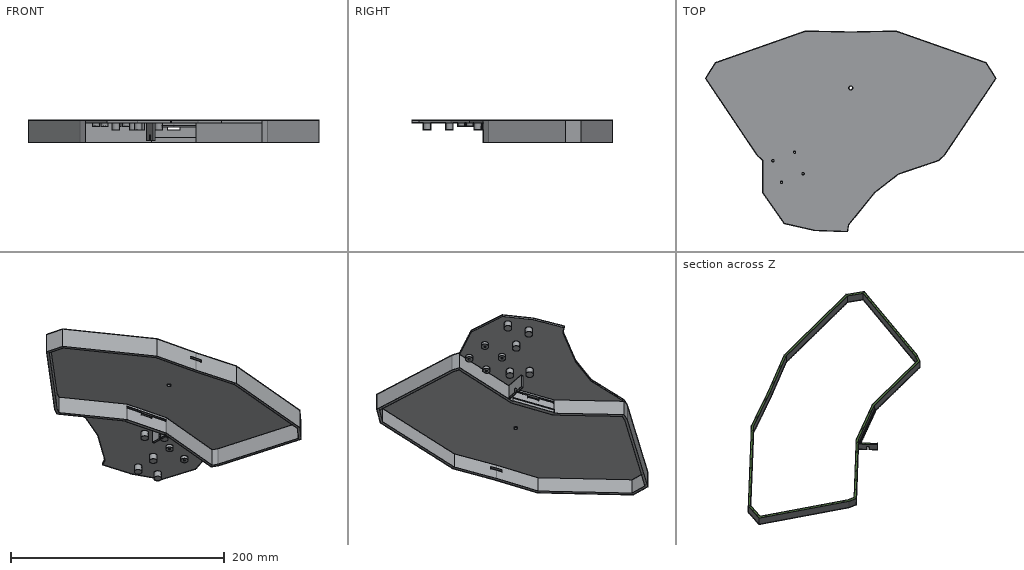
import cadquery as cq
import math

height = 21.0
plate_thickness = 2.5
wall_thickness = 2.5
half_width = 136.0
plate_bottom = height - plate_thickness

back_center = (0.0, 52.5)
back_shoulder = (42.5, 53.3)
side_shoulder = (126.6, 23.6)
side_tip = (half_width, 9.0)
front_chamfer_start = (87.8, -62.8)
front_corner = (82.3, -68.0)
center_half_width = 20.7
front_wall_slope = math.radians(19.5)
center_wall_y = front_corner[1] + (front_corner[0] - center_half_width) * math.tan(front_wall_slope)

apron_points = [
    (-front_corner[0], -98.0),
    (-62.2, -127.0),
    (-33.7, -133.5),
    (-3.0, -134.5),
    (-2.0, -128.0),
    (22.5, -97.8),
    (44.5, -80.7),
]

pivot_hole_diameter = 3.5
short_standoff_diameter = 6.8
short_standoff_length = 3.3
short_standoff_hole_diameter = 1.85
short_standoff_center = (-58.7, -74.2)
short_standoff_spacing = 21.7
short_standoff_turn = 21.6
long_standoff_diameter = 7.0
long_standoff_length = 6.5
long_standoff_points = [
    (-54.0, -120.5),
    (-33.2, -120.5),
    (-37.8, -99.5),
    (-31.0, -65.5),
    (-14.0, -73.0),
]

window_bottom = 14.5
window_top = 16.0
slot_width = 11.5
slot_bottom = 12.0
step_height = 4.5
step_depth = 0.8

rib_root_x = -25.3
rib_length = 18.0
rib_thickness = 2.0
rib_bottom = 2.0
rib_slot_width = 2.1
rib_slot_top = 7.0


def mirrored(points):
    """Mirror points across the YZ plane and reverse their order."""
    return [(-x, y) for x, y in reversed(points)]


def prism(points, z_bottom, z_top):
    return cq.Workplane("XY").workplane(offset=z_bottom).polyline(points).close().extrude(z_top - z_bottom)


def box(x_size, y_range, z_range):
    """Box centered on X = 0 between the given Y and Z limits."""
    y_min, y_max = y_range
    z_min, z_max = z_range
    corner = (-x_size / 2, y_min, z_min)
    return cq.Workplane("XY").box(x_size, y_max - y_min, z_max - z_min, centered=False).translate(corner)


def standoffs(points, diameter, length):
    """Round standoffs hanging from the plate, sunk into it so that they fuse."""
    pins = cq.Workplane("XY").workplane(offset=plate_bottom - length).pushPoints(points)
    return pins.circle(diameter / 2).extrude(length + plate_thickness / 2)


def make_plate():
    back_half = [back_shoulder, side_shoulder, side_tip, front_chamfer_start, front_corner]
    outline = [back_center] + back_half + apron_points[::-1] + mirrored(back_half)
    return prism(outline, plate_bottom, height)


def make_walls():
    """Closed wall ring under the plate, open at the bottom."""
    half = [
        back_shoulder,
        side_shoulder,
        side_tip,
        front_chamfer_start,
        front_corner,
        (center_half_width, center_wall_y),
    ]
    outline = [back_center] + half + mirrored(half)
    outer = prism(outline, 0, plate_bottom)
    inner = cq.Workplane("XY").polyline(outline).close().offset2D(-wall_thickness).extrude(plate_bottom)
    step = box(2 * center_half_width, (center_wall_y - step_depth, center_wall_y), (0, step_height))
    return outer.cut(inner).union(step)


def make_wall_openings():
    """Wide window in the center wall, and a slot through the center and back walls."""
    center_wall_span = (center_wall_y - wall_thickness, center_wall_y + 2 * wall_thickness)
    window = box(2 * center_half_width, center_wall_span, (window_bottom, window_top))
    slot_span = (center_wall_span[0], back_shoulder[1])
    slot = box(slot_width, slot_span, (slot_bottom, window_bottom))
    return window.union(slot)


def make_rib():
    """Thin rib with a round-topped slot rising from its lower edge."""
    root_y = front_corner[1] + (front_corner[0] + rib_root_x) * math.tan(front_wall_slope)
    embed = wall_thickness / 2
    rib = cq.Workplane("XY").box(
        rib_thickness, rib_length + embed, plate_bottom - rib_bottom, centered=False
    ).translate((0, -rib_length, rib_bottom))
    slot_radius = rib_slot_width / 2
    slot_center_z = rib_slot_top - slot_radius
    slot = (
        cq.Workplane("YZ")
        .moveTo(-rib_length / 2 - slot_radius, rib_bottom)
        .lineTo(-rib_length / 2 - slot_radius, slot_center_z)
        .threePointArc((-rib_length / 2, rib_slot_top), (-rib_length / 2 + slot_radius, slot_center_z))
        .lineTo(-rib_length / 2 + slot_radius, rib_bottom)
        .close()
        .extrude(rib_thickness)
    )
    turned = rib.cut(slot).rotate((0, 0, 0), (0, 0, 1), math.degrees(front_wall_slope))
    return turned.translate((rib_root_x, root_y, 0))


def short_standoff_points():
    """Corners of the turned square of short standoffs."""
    radius = short_standoff_spacing / math.sqrt(2)
    angles = [math.radians(45 + 90 * i + short_standoff_turn) for i in range(4)]
    center_x, center_y = short_standoff_center
    return [(center_x + radius * math.cos(a), center_y + radius * math.sin(a)) for a in angles]


def through_holes(points, diameter):
    return cq.Workplane("XY").pushPoints(points).circle(diameter / 2).extrude(height)


body = make_walls().cut(make_wall_openings())
result = (
    make_plate()
    .union(body)
    .union(make_rib())
    .union(standoffs(short_standoff_points(), short_standoff_diameter, short_standoff_length))
    .union(standoffs(long_standoff_points, long_standoff_diameter, long_standoff_length))
    .cut(through_holes(short_standoff_points(), short_standoff_hole_diameter))
    .cut(through_holes([(0, 0)], pivot_hole_diameter))
)